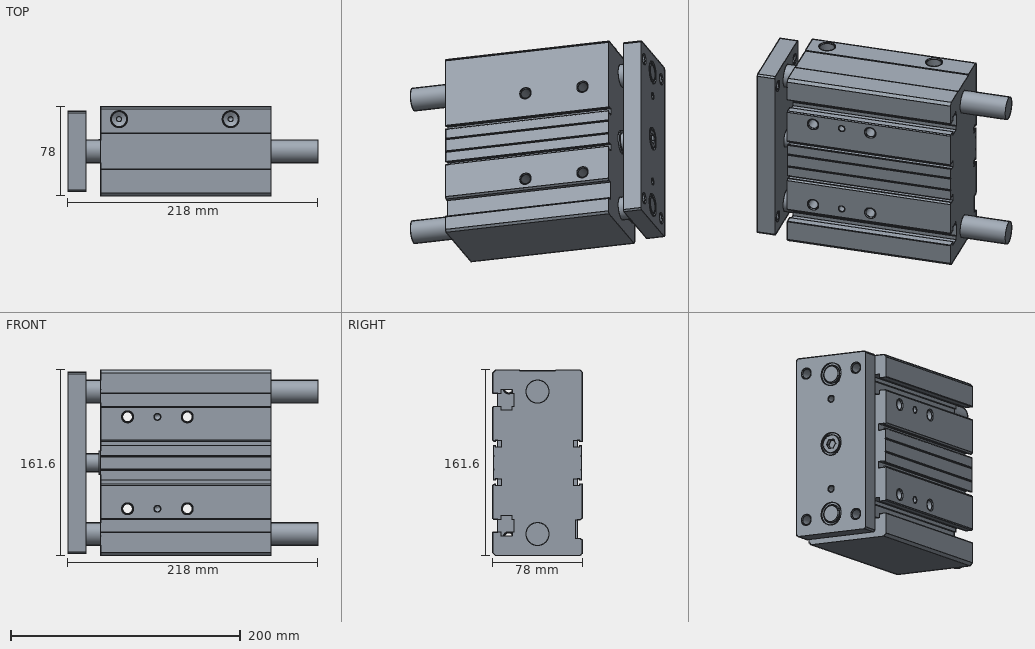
import cadquery as cq
import math


PLATE_THICKNESS = 16.0
PLATE_WIDTH = 70.0
PLATE_HEIGHT = 158.0
PLATE_CORNER = 1.5
PLATE_SCREW_Y = 25.0
PLATE_SCREW_Z = 65.0
PLATE_SCREW_DIAMETER = 8.2
PLATE_SCREW_CHAMFER = 0.85
PLATE_PIN_Z = 40.0
PLATE_PIN_DIAMETER = 5.4
PLATE_PIN_DEPTH = 10.0
PLATE_PIN_CHAMFER = 0.4

HOUSING_START = 28.5
HOUSING_LENGTH = 148.5
HOUSING_WIDTH = 78.0
HOUSING_HEIGHT = 161.6
FRONT_CORNER = 2.5
BACK_CORNER = 2.0
FRONT_Y = -HOUSING_WIDTH / 2
BACK_Y = HOUSING_WIDTH / 2
TOP_Z = HOUSING_HEIGHT / 2

TOP_RECESS_HALF_WIDTH = 15.9
TOP_RECESS_DEPTH = 0.5

T_SLOT_Z = 54.8
T_SLOT_OPENING = 11.2
T_SLOT_HEAD_WIDTH = 17.8
T_SLOT_LIP = 7.0
T_SLOT_HEAD_DEPTH = 10.0
T_SLOT_TOTAL_DEPTH = 18.5
T_SLOT_INNER_CHAMFER = 0.9
T_SLOT_OUTER_CHAMFER = 0.4

STRIP_HALF_HEIGHT = 15.1
STRIP_RECESS = 0.6
SENSOR_GROOVE_WIDTH = 3.3
SENSOR_GROOVE_LIP = 2.3
SENSOR_GROOVE_HEAD_WIDTH = 5.6
SENSOR_GROOVE_DEPTH = 7.6
SENSOR_GROOVE_CHAMFER = 1.4
MARK_GROOVE_Z = 5.9
MARK_GROOVE_WIDTH = 1.3
MARK_GROOVE_DEPTH = 0.5

CHANNEL_Z = -57.7
CHANNEL_WIDTH = 16.0
CHANNEL_DEPTH = 6.0
CHANNEL_CHAMFER_HEIGHT = 1.5
CHANNEL_CHAMFER_DEPTH = 2.0

MOUNT_Z = 40.0
MOUNT_FIRST_X = 23.5
MOUNT_PITCH = 52.0
MOUNT_DIAMETER = 8.6
MOUNT_CHAMFER = 0.9
DOWEL_DIAMETER = 5.4
DOWEL_DEPTH = 8.0
DOWEL_CHAMFER = 0.3

PORT_Y = 28.0
PORT_FIRST_X = 16.1
PORT_PITCH = 97.2
PORT_DIAMETER = 13.2
PORT_CHAMFER = 0.8
PORT_DEPTH = 14.0
PORT_PASSAGE_DIAMETER = 4.4
PORT_PASSAGE_DEPTH = 25.0

GUIDE_Z = 62.0
GUIDE_DIAMETER = 20.0
GUIDE_END = 218.0
NOSE_DIAMETER = 16.0
NOSE_LENGTH = 1.4
NOSE_CHAMFER = 0.9
PISTON_ROD_DIAMETER = 16.0
PISTON_ROD_ENTRY = 60.0
PISTON_RECESS_DIAMETER = 20.0
PISTON_RECESS_DEPTH = 1.6
BUSHING_DIAMETER = 20.6
BUSHING_PROJECTION = 1.4
HEX_ACROSS_FLATS = 7.8
HEX_DEPTH = 4.0

DRILL_TIP_ANGLE = 118.0
TIP_SLOPE = math.tan(math.radians(DRILL_TIP_ANGLE / 2))

ALONG_X = cq.Vector(1, 0, 0)
INTO_FRONT = cq.Vector(0, 1, 0)
DOWN = cq.Vector(0, 0, -1)


def cylinder(diameter, length, start, direction):
    return cq.Workplane(obj=cq.Solid.makeCylinder(diameter / 2, length, cq.Vector(*start), direction))


def cone(start_diameter, end_diameter, length, start, direction):
    return cq.Workplane(
        obj=cq.Solid.makeCone(start_diameter / 2, end_diameter / 2, length, cq.Vector(*start), direction)
    )


def entry_chamfer(diameter, chamfer, start, direction):
    """45-degree countersink that widens the mouth of a hole."""
    return cone(diameter + 2 * chamfer, diameter, chamfer, start, direction)


def drill_tip(start_diameter, end_diameter, start, direction):
    """Cone left by a drill, from one diameter down to another."""
    length = (start_diameter - end_diameter) / 2 / TIP_SLOPE
    return cone(start_diameter, end_diameter, length, start, direction)


def chamfered_blind_hole(diameter, depth, chamfer, start, direction):
    tip_start = (cq.Vector(*start) + direction * depth).toTuple()
    hole = cylinder(diameter, depth, start, direction)
    hole = hole.union(entry_chamfer(diameter, chamfer, start, direction))
    return hole.union(drill_tip(diameter, 0, tip_start, direction))


def chamfered_through_hole(diameter, length, chamfer, start, direction):
    end = (cq.Vector(*start) + direction * length).toTuple()
    hole = cylinder(diameter, length, start, direction)
    hole = hole.union(entry_chamfer(diameter, chamfer, start, direction))
    return hole.union(entry_chamfer(diameter, chamfer, end, direction * -1))


def housing_prism(points):
    """Prism over the housing's length with a (Y, Z) outline."""
    return cq.Workplane("YZ", origin=(HOUSING_START, 0, 0)).polyline(points).close().extrude(HOUSING_LENGTH)


def mirrored_in_z(shape):
    return shape.union(shape.mirror("XY"))



def housing_block():
    block = cq.Workplane("XY").box(HOUSING_LENGTH, HOUSING_WIDTH, HOUSING_HEIGHT)
    block = block.edges("|X and <Y").chamfer(FRONT_CORNER)
    block = block.edges("|X and >Y").chamfer(BACK_CORNER)
    return block.translate((HOUSING_START + HOUSING_LENGTH / 2, 0, 0))


def top_recess():
    floor_half_width = TOP_RECESS_HALF_WIDTH - TOP_RECESS_DEPTH
    floor_z = TOP_Z - TOP_RECESS_DEPTH
    return housing_prism([
        (-TOP_RECESS_HALF_WIDTH, TOP_Z),
        (-floor_half_width, floor_z),
        (floor_half_width, floor_z),
        (TOP_RECESS_HALF_WIDTH, TOP_Z),
    ])


def t_slot():
    """Upper T-slot of the front face: chamfered mouth, wide head and a relief in the head's back wall."""
    head_y = FRONT_Y + T_SLOT_LIP
    back_y = head_y + T_SLOT_HEAD_DEPTH
    relief_y = FRONT_Y + T_SLOT_TOTAL_DEPTH
    inner_z = T_SLOT_Z - T_SLOT_OPENING / 2
    outer_z = T_SLOT_Z + T_SLOT_OPENING / 2
    head_inner_z = T_SLOT_Z - T_SLOT_HEAD_WIDTH / 2
    head_outer_z = T_SLOT_Z + T_SLOT_HEAD_WIDTH / 2
    return housing_prism([
        (FRONT_Y, inner_z - T_SLOT_INNER_CHAMFER),
        (FRONT_Y + T_SLOT_INNER_CHAMFER, inner_z),
        (head_y, inner_z),
        (head_y, head_inner_z),
        (back_y, head_inner_z),
        (back_y, inner_z),
        (relief_y, inner_z),
        (relief_y, outer_z),
        (back_y, outer_z),
        (back_y, head_outer_z),
        (head_y, head_outer_z),
        (head_y, outer_z),
        (FRONT_Y + T_SLOT_OUTER_CHAMFER, outer_z),
        (FRONT_Y, outer_z + T_SLOT_OUTER_CHAMFER),
    ])


def sensor_groove(mouth_chamfer):
    """Upper sensor groove of the front face; its outer mouth edge is chamfered unless given 0."""
    inner_z = STRIP_HALF_HEIGHT
    outer_z = inner_z + SENSOR_GROOVE_WIDTH
    middle_z = (inner_z + outer_z) / 2
    head_inner_z = middle_z - SENSOR_GROOVE_HEAD_WIDTH / 2
    head_outer_z = middle_z + SENSOR_GROOVE_HEAD_WIDTH / 2
    head_y = FRONT_Y + SENSOR_GROOVE_LIP
    back_y = FRONT_Y + SENSOR_GROOVE_DEPTH
    points = [
        (FRONT_Y, inner_z),
        (head_y, inner_z),
        (head_y, head_inner_z),
        (back_y, head_inner_z),
        (back_y, head_outer_z),
        (head_y, head_outer_z),
        (head_y, outer_z),
    ]
    if mouth_chamfer:
        points += [(FRONT_Y + mouth_chamfer, outer_z), (FRONT_Y, outer_z + mouth_chamfer)]
    else:
        points += [(FRONT_Y, outer_z)]
    return housing_prism(points)


def strip_recess():
    """Skim that sets back the middle strip of the front face, with its V-shaped marking grooves."""
    strip_y = FRONT_Y + STRIP_RECESS
    skim = housing_prism([
        (FRONT_Y, -STRIP_HALF_HEIGHT),
        (strip_y, -STRIP_HALF_HEIGHT),
        (strip_y, STRIP_HALF_HEIGHT),
        (FRONT_Y, STRIP_HALF_HEIGHT),
    ])
    mark = housing_prism([
        (strip_y, MARK_GROOVE_Z - MARK_GROOVE_WIDTH / 2),
        (strip_y + MARK_GROOVE_DEPTH, MARK_GROOVE_Z),
        (strip_y, MARK_GROOVE_Z + MARK_GROOVE_WIDTH / 2),
    ])
    return skim.union(mirrored_in_z(mark))


def back_channel():
    mouth_half = CHANNEL_WIDTH / 2
    chamfer_y = BACK_Y - CHANNEL_CHAMFER_DEPTH
    floor_y = BACK_Y - CHANNEL_DEPTH
    return housing_prism([
        (BACK_Y, CHANNEL_Z - mouth_half - CHANNEL_CHAMFER_HEIGHT),
        (chamfer_y, CHANNEL_Z - mouth_half),
        (floor_y, CHANNEL_Z - mouth_half),
        (floor_y, CHANNEL_Z + mouth_half),
        (chamfer_y, CHANNEL_Z + mouth_half),
        (BACK_Y, CHANNEL_Z + mouth_half + CHANNEL_CHAMFER_HEIGHT),
    ])


def air_port(x):
    """Chamfered port whose drill tip runs down to a narrow passage."""
    port = cylinder(PORT_DIAMETER, PORT_DEPTH, (x, PORT_Y, TOP_Z), DOWN)
    port = port.union(entry_chamfer(PORT_DIAMETER, PORT_CHAMFER, (x, PORT_Y, TOP_Z), DOWN))
    tip_start = (x, PORT_Y, TOP_Z - PORT_DEPTH)
    port = port.union(drill_tip(PORT_DIAMETER, PORT_PASSAGE_DIAMETER, tip_start, DOWN))
    return port.union(cylinder(PORT_PASSAGE_DIAMETER, PORT_PASSAGE_DEPTH, (x, PORT_Y, TOP_Z), DOWN))


def make_housing():
    bushing_start = HOUSING_START - BUSHING_PROJECTION
    body = housing_block()
    body = body.cut(top_recess())
    body = body.cut(mirrored_in_z(t_slot()))
    body = body.cut(mirrored_in_z(sensor_groove(SENSOR_GROOVE_CHAMFER)))
    body = body.cut(mirrored_in_z(sensor_groove(0)).mirror("XZ"))
    body = body.cut(strip_recess())
    body = body.cut(strip_recess().mirror("XZ"))
    body = body.cut(back_channel())

    first_mount_x = HOUSING_START + MOUNT_FIRST_X
    for z in (-MOUNT_Z, MOUNT_Z):
        for x in (first_mount_x, first_mount_x + MOUNT_PITCH):
            start = (x, FRONT_Y, z)
            body = body.cut(
                chamfered_through_hole(MOUNT_DIAMETER, HOUSING_WIDTH, MOUNT_CHAMFER, start, INTO_FRONT)
            )
        dowel_start = (first_mount_x + MOUNT_PITCH / 2, FRONT_Y, z)
        body = body.cut(
            chamfered_blind_hole(DOWEL_DIAMETER, DOWEL_DEPTH, DOWEL_CHAMFER, dowel_start, INTO_FRONT)
        )

    first_port_x = HOUSING_START + PORT_FIRST_X
    last_port_x = first_port_x + PORT_PITCH
    body = body.cut(air_port(first_port_x))
    body = body.cut(air_port(last_port_x))
    passage_end = (last_port_x, PORT_Y, TOP_Z - PORT_PASSAGE_DEPTH)
    body = body.cut(drill_tip(PORT_PASSAGE_DIAMETER, 0, passage_end, DOWN))

    for z in (-GUIDE_Z, GUIDE_Z):
        body = body.cut(cylinder(GUIDE_DIAMETER, HOUSING_LENGTH, (HOUSING_START, 0, z), ALONG_X))

    body = body.union(cylinder(BUSHING_DIAMETER, BUSHING_PROJECTION, (bushing_start, 0, 0), ALONG_X))
    rod_hole_length = BUSHING_PROJECTION + PISTON_ROD_ENTRY
    return body.cut(cylinder(PISTON_ROD_DIAMETER, rod_hole_length, (bushing_start, 0, 0), ALONG_X))



def make_plate():
    plate = cq.Workplane("XY").box(PLATE_THICKNESS, PLATE_WIDTH, PLATE_HEIGHT)
    plate = plate.edges("|X").chamfer(PLATE_CORNER).translate((PLATE_THICKNESS / 2, 0, 0))

    for y in (-PLATE_SCREW_Y, PLATE_SCREW_Y):
        for z in (-PLATE_SCREW_Z, PLATE_SCREW_Z):
            plate = plate.cut(
                chamfered_through_hole(
                    PLATE_SCREW_DIAMETER, PLATE_THICKNESS, PLATE_SCREW_CHAMFER, (0, y, z), ALONG_X
                )
            )
    for side in (-1, 1):
        pin_start = (0, 0, side * PLATE_PIN_Z)
        plate = plate.cut(
            chamfered_blind_hole(PLATE_PIN_DIAMETER, PLATE_PIN_DEPTH, PLATE_PIN_CHAMFER, pin_start, ALONG_X)
        )
        plate = plate.cut(cylinder(GUIDE_DIAMETER, PLATE_THICKNESS, (0, 0, side * GUIDE_Z), ALONG_X))

    plate = plate.cut(cylinder(PISTON_RECESS_DIAMETER, PISTON_RECESS_DEPTH, (0, 0, 0), ALONG_X))
    return plate.cut(cylinder(PISTON_ROD_DIAMETER, PLATE_THICKNESS, (0, 0, 0), ALONG_X))



def make_guide_rod(z):
    """Guide rod with a short chamfered nose that ends flush with the plate's outer face."""
    nose = cylinder(NOSE_DIAMETER, NOSE_LENGTH, (0, 0, z), ALONG_X).faces("<X").chamfer(NOSE_CHAMFER)
    shank = cylinder(GUIDE_DIAMETER, GUIDE_END - NOSE_LENGTH, (NOSE_LENGTH, 0, z), ALONG_X)
    return shank.union(nose)


def make_piston_rod():
    """Plain rod with a hexagon socket in its end at the plate."""
    rod = cylinder(PISTON_ROD_DIAMETER, HOUSING_START + PISTON_ROD_ENTRY, (0, 0, 0), ALONG_X)
    across_corners = HEX_ACROSS_FLATS / math.cos(math.pi / 6)
    socket = cq.Workplane("YZ").polygon(6, across_corners).extrude(HEX_DEPTH)
    return rod.cut(socket)


housing = make_housing()
plate = make_plate()
guide_rods = [make_guide_rod(z) for z in (-GUIDE_Z, GUIDE_Z)]
piston_rod = make_piston_rod()

result = cq.Compound.makeCompound([
    housing.val(),
    plate.val(),
    *[rod.val() for rod in guide_rods],
    piston_rod.val(),
])